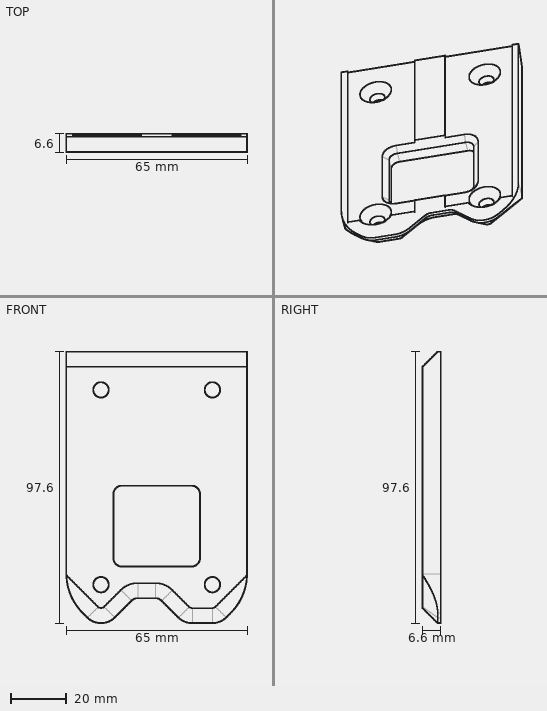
import cadquery as cq
import math

WIDTH = 65.0
THICKNESS = 6.6
HEIGHT = 97.6
BEVEL = 5.5

FOOT_X = 20.0
FOOT_RADIUS = 7.0
RIGHT_FOOT_FLAT = 7.3
NOTCH_HEIGHT = 9.0
NOTCH_RADIUS = 3.0
SIDE_RADIUS = 20.0

HOLE_DIAMETER = 5.5
HOLE_SPACING_Z = 70.0
LOWER_HOLE_Z = 13.9
COUNTERSINK_DEPTH = 3.6

WINDOW_WIDTH = 31.0
WINDOW_HEIGHT = 29.0
WINDOW_BOTTOM = 20.4
WINDOW_RADIUS = 3.0
WINDOW_BEVEL = 2.6

RELIEF_WIDTH = 24.6
RELIEF_DEPTH = 0.6
RELIEF_MARGIN = 2.3

REACH = 1.0

FLANK_RUN = FOOT_RADIUS * math.tan(math.radians(22.5))
CORNER_DROP = FOOT_RADIUS * (math.sqrt(2) - 1)


def prism(points):
    """Extrude an (x, z) outline from the front face to the back face."""
    return cq.Workplane("XZ").polyline(points).close().extrude(-THICKNESS)


def block(width, depth, height, center_x, bottom):
    """Box of the given depth, measured in from the back face."""
    return (
        cq.Workplane("XY")
        .box(width, depth, height, centered=(True, False, False))
        .translate((center_x, THICKNESS - depth, bottom))
    )


def near(half_width, y, low_z, high_z):
    """Selector for what is centered inside a box that is symmetric about X = 0."""
    low_corner = (-half_width, y - REACH, low_z - REACH)
    high_corner = (half_width, y + REACH, high_z + REACH)
    return cq.selectors.BoxSelector(low_corner, high_corner)


def make_plate():
    half = WIDTH / 2
    shoulder = half - FOOT_X - FLANK_RUN
    right_toe = FOOT_X + FLANK_RUN
    right_heel = FOOT_X - RIGHT_FOOT_FLAT - FLANK_RUN
    left_side = [(-half, HEIGHT), (-half, shoulder), (-FOOT_X, -CORNER_DROP)]
    right_side = [(right_toe, 0), (half, shoulder), (half, HEIGHT)]
    envelope = prism(left_side + right_side)

    left_notch_corner = -FOOT_X + CORNER_DROP + NOTCH_HEIGHT
    right_notch_corner = right_heel - NOTCH_HEIGHT
    notch = [(left_notch_corner, NOTCH_HEIGHT), (right_notch_corner, NOTCH_HEIGHT), (right_heel, 0)]
    plate = prism(left_side + notch + right_side)
    middle = THICKNESS / 2
    below_feet = near(half - REACH, middle, -CORNER_DROP, 0)
    notch_top = near(half - REACH, middle, NOTCH_HEIGHT, NOTCH_HEIGHT)
    plate = plate.edges("|Y").edges(below_feet).fillet(FOOT_RADIUS)
    plate = plate.edges("|Y").edges(notch_top).fillet(NOTCH_RADIUS)
    plate = plate.faces("<Y").edges("not(<X or >X)").chamfer(BEVEL)

    shoulders = near(half + REACH, middle, shoulder, shoulder)
    return plate.intersect(envelope.edges("|Y").edges(shoulders).fillet(SIDE_RADIUS))


def make_hole():
    """Countersunk hole through the plate, as a solid centered on the Y axis."""
    radius = HOLE_DIAMETER / 2
    shank_length = THICKNESS - COUNTERSINK_DEPTH
    half_section = [
        (0, 0),
        (radius, 0),
        (radius, shank_length),
        (radius + COUNTERSINK_DEPTH, THICKNESS),
        (0, THICKNESS),
    ]
    return cq.Workplane("XY").polyline(half_section).close().revolve(360, (0, 0, 0), (0, 1, 0))


def cut_holes(plate):
    for x in (-FOOT_X, FOOT_X):
        for z in (LOWER_HOLE_Z, LOWER_HOLE_Z + HOLE_SPACING_Z):
            plate = plate.cut(make_hole().translate((x, 0, z)))
    return plate


def cut_window(plate):
    window = block(WINDOW_WIDTH, THICKNESS, WINDOW_HEIGHT, 0, WINDOW_BOTTOM)
    plate = plate.cut(window.edges("|Y").fillet(WINDOW_RADIUS))
    around_window = near(WINDOW_WIDTH / 2 + REACH, THICKNESS, WINDOW_BOTTOM, WINDOW_BOTTOM + WINDOW_HEIGHT)
    return plate.faces(">Y").edges(around_window).chamfer(WINDOW_BEVEL)


def cut_reliefs(plate):
    bottom = NOTCH_HEIGHT + RELIEF_MARGIN
    offset = WIDTH / 2 - RELIEF_MARGIN - RELIEF_WIDTH / 2
    for x in (-offset, offset):
        plate = plate.cut(block(RELIEF_WIDTH, RELIEF_DEPTH, HEIGHT - bottom, x, bottom))
    return plate


result = cut_reliefs(cut_window(cut_holes(make_plate())))